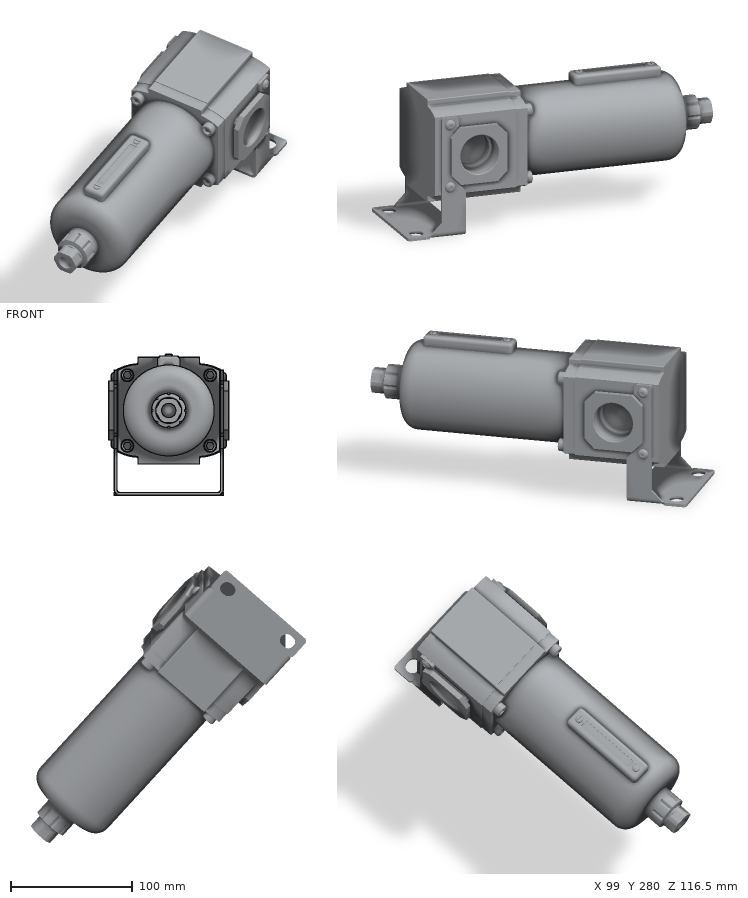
import cadquery as cq
import math


housing_length = 71.7
housing_half_width = 42.5
housing_half_height = 44.2
ridge_half_width = 25.5
ridge_base_height = 38.5
ridge_fillet = 0.8
side_edge_height = 34.0
shoulder_bulge = 0.98

port_y = -37.0
port_plate_size = 49.0
port_plate_chamfer = 8.5
port_plate_face = 49.5
port_pad_size = 42.5
port_pad_chamfer = 2.8
port_radius = 16.8
port_mouth_chamfer = 0.5
port_depth = 16.8
port_step_radius = 14.5
port_step_depth = 8.5
port_cone_depth = 8.5

flange_length = 9.8
flange_inset = 0.7
bowl_radius = 37.5
bowl_end_y = -226.5
bowl_end_fillet = 12.3

cover_width = 18.2
cover_length = 76.5
cover_rear_y = -135.2
cover_top = 45.0
cover_root = 30.8
cover_fillet = 3.0
cover_top_fillet = 2.8
window_width = 6.5
window_length = 53.2
window_depth = 0.5
cover_screw_radius = 3.0
cover_screw_height = 1.5
cover_screw_rounding = 1.25
cover_screw_spacing = 63.0
cover_screw_slot = 0.8

cap_screw_x = 34.2
cap_screw_z = 29.0
cap_screw_radius = 5.3
cap_screw_height = 6.0
cap_screw_chamfer = 0.5
cap_socket_diameter = 6.7
cap_socket_depth = 2.8

sheet = 2.5
bracket_bottom = -70.0
bend_radius = 4.8
leg_rear_y = -5.5
leg_front_y = -26.5
leg_top = 33.3
leg_upper_front_y = -20.2
leg_corner_fillet = 2.0
notch_rear_y = -15.0
notch_half_height = 20.0
leg_taper_top = -58.0
tab_root_y = 4.5
tab_rear_y = 24.0
tab_corner_fillet = 2.5
tab_slot_x = 33.0
tab_slot_y = 13.0
tab_slot_length = 13.2
tab_slot_width = 11.2
button_y = -12.5
button_z = 27.0
button_radius = 4.5
button_height = 2.5
button_top_radius = 2.0
button_bulge = 0.42
button_socket_diameter = 3.5
button_socket_depth = 1.5
button_shank_radius = 2.5

drain_end_y = -256.0
collar_radius = 14.3
collar_length = 17.0
collar_taper = 1.0
nozzle_radius = 10.5
nozzle_flats = 20.0
flats_length = 9.5
drain_bore_radius = 6.0
drain_bore_depth = 14.0
grip_count = 8
grip_width = 4.2
grip_depth = 1.5
grip_length = 11.2

flange_end_y = -housing_length - flange_length
bracket_half_width = housing_half_width + sheet


def facing_front(y):
    """Sketch plane at the given y, with X to the right, Z up and its normal toward -Y."""
    return cq.Workplane("XZ", origin=(0, y, 0))


def facing_right(x):
    """Sketch plane at the given x, with Y across, Z up and its normal toward +X."""
    return cq.Workplane("YZ", origin=(x, 0, 0))


def both_sides(solid):
    """The solid together with its mirror image across the plane x = 0."""
    return solid.union(solid.mirror("YZ"))


def ridged_block(rear_y, length, top, side_inset):
    """Block with arched shoulders and a ridge above and below; the upper ridge ends at `top`."""
    side = housing_half_width - side_inset
    edge = side_edge_height - side_inset
    base = ridge_base_height - side_inset

    run = side - ridge_half_width
    drop = base - edge
    chord = math.hypot(run, drop)
    mid_x = ridge_half_width + run / 2 + shoulder_bulge * drop / chord
    mid_z = base - drop / 2 + shoulder_bulge * run / chord

    block = (
        facing_front(rear_y)
        .moveTo(-ridge_half_width, top)
        .lineTo(ridge_half_width, top)
        .lineTo(ridge_half_width, base)
        .threePointArc((mid_x, mid_z), (side, edge))
        .lineTo(side, -edge)
        .threePointArc((mid_x, -mid_z), (ridge_half_width, -base))
        .lineTo(ridge_half_width, -housing_half_height)
        .lineTo(-ridge_half_width, -housing_half_height)
        .lineTo(-ridge_half_width, -base)
        .threePointArc((-mid_x, -mid_z), (-side, -edge))
        .lineTo(-side, edge)
        .threePointArc((-mid_x, mid_z), (-ridge_half_width, base))
        .close()
        .extrude(length)
    )
    reach = ridge_half_width + ridge_fillet
    ridge_edges = block.edges("|Y").filter(lambda edge: abs(edge.Center().x) < reach)
    return ridge_edges.fillet(ridge_fillet)


def port_boss():
    """Port boss on the +X side: a small pad that carries a larger octagonal plate."""
    pad = (
        facing_right(0)
        .center(port_y, 0)
        .rect(port_pad_size, port_pad_size)
        .extrude(bracket_half_width)
        .edges("|X")
        .chamfer(port_pad_chamfer)
    )
    plate = (
        facing_right(bracket_half_width)
        .center(port_y, 0)
        .rect(port_plate_size, port_plate_size)
        .extrude(port_plate_face - bracket_half_width)
        .edges("|X")
        .chamfer(port_plate_chamfer)
    )
    return pad.union(plate)


def port_bore():
    """Stepped blind bore on the +X side, with a chamfered mouth and a conical bottom."""
    floor = port_plate_face - port_depth
    step_floor = floor - port_step_depth
    profile = [
        (port_plate_face, 0),
        (port_plate_face, port_radius + port_mouth_chamfer),
        (port_plate_face - port_mouth_chamfer, port_radius),
        (floor, port_radius),
        (floor, port_step_radius),
        (step_floor, port_step_radius),
        (step_floor - port_cone_depth, 0),
    ]
    bore = cq.Workplane("XY").polyline(profile).close().revolve(360, (0, 0, 0), (1, 0, 0))
    return bore.translate((0, port_y, 0))


def button_shanks():
    """Shanks of the two button screws on the +X side, which pass through the bracket leg."""
    return (
        facing_right(housing_half_width)
        .pushPoints([(button_y, button_z), (button_y, -button_z)])
        .circle(button_shank_radius)
        .extrude(sheet)
    )


def button_heads():
    """Domed heads of the two button screws on the +X side, each with a hexagon socket."""
    face = bracket_half_width + button_height
    mid_x = bracket_half_width + button_height / 2 + button_bulge
    mid_radius = (button_radius + button_top_radius) / 2 + button_bulge
    head = (
        cq.Workplane("XY")
        .moveTo(bracket_half_width, 0)
        .lineTo(bracket_half_width, button_radius)
        .threePointArc((mid_x, mid_radius), (face, button_top_radius))
        .lineTo(face, 0)
        .close()
        .revolve(360, (0, 0, 0), (1, 0, 0))
    )
    socket = facing_right(face).polygon(6, button_socket_diameter).extrude(-button_socket_depth)
    head = head.cut(socket).translate((0, button_y, 0))
    return head.translate((0, 0, button_z)).union(head.translate((0, 0, -button_z)))


housing = ridged_block(0, housing_length, housing_half_height, 0)
housing = housing.union(both_sides(port_boss())).cut(both_sides(port_bore()))
housing = housing.union(both_sides(button_shanks())).union(both_sides(button_heads()))


def sight_cover():
    """Rounded cover bar on top of the bowl, with a sunk window and two slotted screws."""
    center_y = cover_rear_y - cover_length / 2
    cover = (
        cq.Workplane("XY", origin=(0, center_y, cover_root))
        .rect(cover_width, cover_length)
        .extrude(cover_top - cover_root)
        .edges("|Z")
        .fillet(cover_fillet)
        .faces(">Z")
        .edges()
        .fillet(cover_top_fillet)
    )
    window = cq.Workplane("XY", origin=(0, center_y, cover_top)).rect(window_width, window_length)
    cover = cover.cut(window.extrude(-window_depth))
    for side in (-1, 1):
        screw_y = center_y + side * cover_screw_spacing / 2
        base = cq.Workplane("XY", origin=(0, screw_y, cover_top))
        head = base.circle(cover_screw_radius).extrude(cover_screw_height)
        head = head.faces(">Z").edges().fillet(cover_screw_rounding)
        slot = head.faces(">Z").workplane().rect(2 * cover_screw_radius, cover_screw_slot)
        head = slot.cutBlind(-cover_screw_slot)
        cover = cover.union(head)
    return cover


def bowl_shell():
    """Round bowl with a rounded front rim."""
    rim_y = bowl_end_y + bowl_end_fillet
    rim_center_z = bowl_radius - bowl_end_fillet
    rim_mid = bowl_end_fillet * math.sqrt(0.5)
    return (
        facing_right(0)
        .moveTo(flange_end_y, 0)
        .lineTo(flange_end_y, bowl_radius)
        .lineTo(rim_y, bowl_radius)
        .threePointArc((rim_y - rim_mid, rim_center_z + rim_mid), (bowl_end_y, rim_center_z))
        .lineTo(bowl_end_y, 0)
        .close()
        .revolve(360, (0, 0, 0), (1, 0, 0))
    )


flange_top = housing_half_height - flange_inset
flange = ridged_block(-housing_length, flange_length, flange_top, flange_inset)
bowl = bowl_shell().union(flange).union(sight_cover())


def cap_screw(x, z):
    """Cylindrical screw head on the flange, with a hexagon socket in its front face."""
    return (
        facing_front(flange_end_y)
        .center(x, z)
        .circle(cap_screw_radius)
        .extrude(cap_screw_height)
        .faces("<Y")
        .edges()
        .chamfer(cap_screw_chamfer)
        .faces("<Y")
        .workplane()
        .polygon(6, cap_socket_diameter)
        .cutBlind(-cap_socket_depth)
    )


cap_screws = []
for screw_x in (-cap_screw_x, cap_screw_x):
    for screw_z in (-cap_screw_z, cap_screw_z):
        cap_screws.append(cap_screw(screw_x, screw_z))


def folded_strip():
    """U-shaped sheet, open at the top, long enough along Y for the legs and their taper."""
    height = leg_top - bracket_bottom
    span = tab_root_y - leg_front_y
    outer = (
        facing_front(tab_root_y)
        .center(0, bracket_bottom + height / 2)
        .rect(2 * bracket_half_width, height)
        .extrude(span)
        .edges("|Y and <Z")
        .fillet(bend_radius)
    )
    inner = (
        facing_front(tab_root_y)
        .center(0, bracket_bottom + sheet + height / 2)
        .rect(2 * housing_half_width, height)
        .extrude(span)
        .edges("|Y and <Z")
        .fillet(bend_radius - sheet)
    )
    return outer.cut(inner)


def leg_outline():
    """Side outline of the legs, notched around the port pad and widened toward the fold."""
    upper_shoulder = notch_half_height + notch_rear_y - leg_upper_front_y
    lower_shoulder = -notch_half_height - (notch_rear_y - leg_front_y)
    taper_bottom = leg_taper_top - (tab_root_y - leg_rear_y)
    outline = [
        (leg_rear_y, leg_top),
        (leg_upper_front_y, leg_top),
        (leg_upper_front_y, upper_shoulder),
        (notch_rear_y, notch_half_height),
        (notch_rear_y, -notch_half_height),
        (leg_front_y, lower_shoulder),
        (leg_front_y, bracket_bottom),
        (tab_root_y, bracket_bottom),
        (tab_root_y, taper_bottom),
        (leg_rear_y, leg_taper_top),
    ]
    legs = facing_right(-bracket_half_width).polyline(outline).close().extrude(2 * bracket_half_width)
    return legs.edges("|X and >Z").fillet(leg_corner_fillet)


def floor_plate():
    """Flat floor between the two bends, reaching back to the tab."""
    length = tab_root_y - leg_front_y
    return (
        cq.Workplane("XY", origin=(0, leg_front_y + length / 2, bracket_bottom))
        .rect(2 * (bracket_half_width - bend_radius), length)
        .extrude(sheet)
    )


def mounting_tab():
    """Flat tab behind the legs, with rounded corners and two mounting slots."""
    length = tab_rear_y - tab_root_y
    tab = (
        cq.Workplane("XY", origin=(0, tab_root_y + length / 2, bracket_bottom))
        .rect(2 * bracket_half_width, length)
        .extrude(sheet)
        .edges("|Z")
        .fillet(tab_corner_fillet)
    )
    slots = (
        cq.Workplane("XY", origin=(0, tab_slot_y, bracket_bottom))
        .pushPoints([(-tab_slot_x, 0), (tab_slot_x, 0)])
        .slot2D(tab_slot_length, tab_slot_width)
        .extrude(sheet)
    )
    return tab.cut(slots)


bracket = folded_strip().intersect(leg_outline()).union(floor_plate()).union(mounting_tab())
bracket = bracket.cut(both_sides(button_shanks()))


def drain_grip(index):
    """Cutter for one of the V-shaped finger grooves that run back from the collar's front end."""
    groove = (
        facing_front(bowl_end_y - collar_length + grip_length)
        .moveTo(0, collar_radius - grip_depth)
        .lineTo(grip_width / 2, collar_radius)
        .lineTo(-grip_width / 2, collar_radius)
        .close()
        .extrude(grip_length)
    )
    return groove.rotate((0, 0, 0), (0, 1, 0), index * 360 / grip_count)


def drain_cock():
    """Round collar with finger grooves and a tapered end, then a nozzle with six flats and a bore."""
    taper_y = bowl_end_y - collar_length
    nozzle_y = taper_y - collar_taper
    flats_y = drain_end_y + flats_length
    drain = facing_front(bowl_end_y).circle(collar_radius).extrude(collar_length)
    for index in range(grip_count):
        drain = drain.cut(drain_grip(index))
    taper = (
        facing_front(taper_y)
        .circle(collar_radius)
        .workplane(offset=collar_taper)
        .circle(nozzle_radius)
        .loft()
    )
    root = facing_front(nozzle_y).circle(nozzle_radius).extrude(nozzle_y - flats_y)
    nozzle = facing_front(flats_y).circle(nozzle_radius).extrude(flats_length)
    hexagon = facing_front(flats_y).polygon(6, nozzle_flats / math.cos(math.pi / 6)).extrude(flats_length)
    bore = facing_front(drain_end_y).circle(drain_bore_radius).extrude(-drain_bore_depth)
    return drain.union(taper).union(root).union(nozzle.intersect(hexagon)).cut(bore)


drain = drain_cock()

result = cq.Compound.makeCompound(
    [housing.val(), bowl.val(), bracket.val(), drain.val(), *[screw.val() for screw in cap_screws]]
)